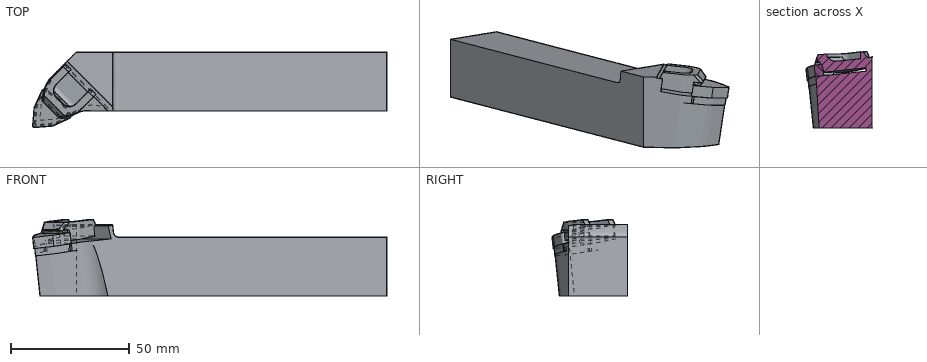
import cadquery as cq
import math

shank_end = 150.0
shank_width = 25.0
shank_height = 25.0
pad_height = 30.4
pad_end = 33.9
pad_wall_foot = (34.3, 27.0)
pad_blend_middle = (35.0, 25.6)
pad_blend_end = 36.6

edge_tilt = 6.0
axis_slope = math.tan(math.radians(edge_tilt)) * math.sqrt(2)
corner_offset = 7.075
corner_x = -0.075
corner_height = 24.8
seat_plane = cq.Plane(
    origin=(corner_x, -corner_offset, corner_height),
    xDir=(1, 1, math.sqrt(2) * axis_slope),
    normal=(-axis_slope / math.sqrt(2), -axis_slope / math.sqrt(2), 1),
)
axis_plane = cq.Plane(seat_plane.origin, xDir=seat_plane.xDir, normal=-seat_plane.yDir)

inscribed_radius = 6.35
insert_thickness = 4.76
nose_radius = 0.8
half_corner = math.radians(40)
flank_angle = math.radians(20)
insert_center = inscribed_radius / math.sin(half_corner)
break_radius = inscribed_radius / math.cos(math.radians(10))
break_u = insert_center - break_radius * math.cos(math.radians(60))
break_v = break_radius * math.sin(math.radians(60))

support_inset = 0.35
break_clip_start = 5.8
break_clip_end = 7.8
flank_end = 16.9
left_flank_end = 17.6
left_face = 9.5
left_face_start = 19.2
neck_middle = (22.3, -12.87)
neck_end = (23.7, -17.75)
nose_limit_x = 24.0
tool_reach = 170.0
shim_thickness = 3.2
shim_step = 0.1
relief_start = 13.9
relief_width = 0.8
relief_depth = 1.0

pocket_back = 28.15
strip_back = 30.8
strip_level = 0.77
clamp_half_width = 9.04
clamp_taper_start = 19.2
clamp_front_half_width = 5.9
clamp_corner_rounding = 4.0
lip_front = 11.3
lip_bottom = 1.3
lip_top = 1.8
crown_front = (14.0, 4.35)
crown_clearance = 1.0
crown_back = (28.4, 3.5)
hook_back = 29.5
clamp_bottom = -3.55
underside = 1.1
contact_front = 12.0
contact_half_width = 6.2
leg_front = 15.0
nose_facet = 1.1
recess_half_width = 5.87
recess_front = 17.0
recess_back = 27.7
recess_step = 0.07
recess_floor_radius = 2.0
floor_blend_setback = 1.0
recess_corner = 3.8


def nose_edge_v(u, inset):
    """Half-width of an edge that runs back from the insert corner."""
    return u * math.tan(half_corner) - inset / math.cos(half_corner)


def flank_v(u, inset):
    """Half-width of the flank that follows the nose edge."""
    return break_v + (u - break_u) * math.tan(flank_angle) - inset / math.cos(flank_angle)


def seat_prism(outline, bottom, top):
    """Extrude a closed outline square to the seat, between two W levels."""
    return outline.extrude(top - bottom).translate(seat_plane.zDir * bottom)


def seat_box(u_range, v_range, w_range):
    """Box aligned with the seat."""
    u_size = u_range[1] - u_range[0]
    v_size = v_range[1] - v_range[0]
    outline = (
        cq.Workplane(seat_plane)
        .center((u_range[0] + u_range[1]) / 2, (v_range[0] + v_range[1]) / 2)
        .rect(u_size, v_size)
    )
    return seat_prism(outline, w_range[0], w_range[1])


def make_insert():
    """Trigon plate with three rounded noses."""
    points = []
    for corner in range(3):
        nose_angle = math.pi + corner * math.radians(120)
        break_angle = nose_angle + math.radians(60)
        for radius, angle in ((insert_center, nose_angle), (break_radius, break_angle)):
            points.append((insert_center + radius * math.cos(angle), radius * math.sin(angle)))
    body = seat_prism(cq.Workplane(seat_plane).polyline(points).close(), -insert_thickness, 0)
    edges = body.edges(cq.selectors.ParallelDirSelector(seat_plane.zDir)).vals()
    axis_point = seat_plane.toWorldCoords((insert_center, 0, -insert_thickness / 2))
    reach = (insert_center + break_radius) / 2
    noses = [edge for edge in edges if edge.Center().sub(axis_point).Length > reach]
    return body.newObject(noses).fillet(nose_radius)


def head_outline(inset):
    """Head plan: nose inset from the insert edges, flat left side and concave neck on the right."""
    nose_back = nose_radius * math.cos(half_corner) ** 2 / math.sin(half_corner)
    nose_start = nose_back + inset / math.sin(half_corner)
    nose_tip = nose_radius * (1 / math.sin(half_corner) - 1) + inset / math.sin(half_corner)
    nose_half = nose_edge_v(nose_start, inset)
    clip_start_v = nose_edge_v(break_clip_start, inset)
    clip_end_v = flank_v(break_clip_end, inset)
    return (
        cq.Workplane(seat_plane)
        .moveTo(nose_start, nose_half)
        .threePointArc((nose_tip, 0), (nose_start, -nose_half))
        .lineTo(break_clip_start, -clip_start_v)
        .lineTo(break_clip_end, -clip_end_v)
        .lineTo(flank_end, -flank_v(flank_end, support_inset))
        .threePointArc(neck_middle, neck_end)
        .lineTo(neck_end[0], -tool_reach)
        .lineTo(tool_reach, -tool_reach)
        .lineTo(tool_reach, left_face)
        .lineTo(left_face_start, left_face)
        .lineTo(left_flank_end, flank_v(left_flank_end, support_inset))
        .lineTo(break_clip_end, clip_end_v)
        .lineTo(break_clip_start, clip_start_v)
        .close()
    )


def make_shank_stock():
    """Square shank with the raised pad, plus stock for the nose beyond the shank side."""
    shank = (
        cq.Workplane("XZ")
        .moveTo(0, 0)
        .lineTo(shank_end, 0)
        .lineTo(shank_end, shank_height)
        .lineTo(pad_blend_end, shank_height)
        .threePointArc(pad_blend_middle, pad_wall_foot)
        .lineTo(pad_end, pad_height)
        .lineTo(0, pad_height)
        .close()
        .extrude(-shank_width)
    )
    nose = cq.Workplane("XY").box(nose_limit_x, corner_offset, pad_height, centered=False)
    return shank.union(nose.translate((0, -corner_offset, 0)))


def make_clamp():
    """Clamp block with its lip over the insert and its leg just clear of the pocket floor."""
    plan = (
        cq.Workplane(seat_plane)
        .polyline([
            (lip_front, -clamp_front_half_width),
            (clamp_taper_start, -clamp_half_width),
            (hook_back, -clamp_half_width),
            (hook_back, clamp_half_width),
            (clamp_taper_start, clamp_half_width),
            (lip_front, clamp_front_half_width),
        ])
        .close()
    )
    block = seat_prism(plan, clamp_bottom, crown_front[1] + crown_clearance)
    for side in (-1, 1):
        corner = seat_plane.toWorldCoords((clamp_taper_start, side * clamp_half_width, 0))
        corner_edge = block.edges(cq.selectors.ParallelDirSelector(seat_plane.zDir)).edges(
            cq.selectors.NearestToPointSelector(corner.toTuple())
        )
        block = corner_edge.fillet(clamp_corner_rounding)
    side_profile = cq.Workplane(axis_plane).polyline([
        (lip_front, lip_bottom),
        (lip_front, lip_top),
        crown_front,
        crown_back,
        (hook_back, strip_level),
        (pocket_back, strip_level),
        (pocket_back, clamp_bottom),
        (leg_front, clamp_bottom),
        (leg_front, underside),
        (contact_front, underside),
    ]).close().extrude(clamp_half_width, both=True)
    clamp = block.intersect(side_profile)

    slope_u = (lip_front + crown_front[0]) / 2
    slope_w = (lip_top + crown_front[1]) / 2
    taper = (clamp_half_width - clamp_front_half_width) / (clamp_taper_start - lip_front)
    slope_v = clamp_front_half_width + taper * (slope_u - lip_front)
    for side in (-1, 1):
        slope_middle = seat_plane.toWorldCoords((slope_u, side * slope_v, slope_w))
        slope_edge = clamp.edges(cq.selectors.NearestToPointSelector(slope_middle.toTuple()))
        clamp = slope_edge.chamfer(nose_facet)

    contact = seat_box((contact_front, leg_front), (-contact_half_width, contact_half_width), (0, underside))
    return clamp.union(contact).cut(make_clamp_recess())


def make_clamp_recess():
    """U-shaped recess, open to the back, whose front wall runs into the floor in a curve."""
    across = (-recess_half_width, recess_half_width)
    floor = strip_level - recess_step
    top = crown_front[1] + crown_clearance
    recess = seat_box((recess_front, recess_back), across, (floor, top))
    front_corners = recess.edges(cq.selectors.ParallelDirSelector(seat_plane.zDir)).vals()
    front_corners = sorted(front_corners, key=lambda edge: edge.Center().dot(seat_plane.xDir))[:2]
    recess = recess.newObject(front_corners).fillet(recess_corner)
    arc_inset = recess_floor_radius * (1 - math.sqrt(0.5))
    start = recess_front + floor_blend_setback
    blend_top = floor + recess_floor_radius
    blend = (
        cq.Workplane(axis_plane)
        .moveTo(recess_front, floor)
        .lineTo(start + recess_floor_radius, floor)
        .threePointArc((start + arc_inset, floor + arc_inset), (start, blend_top))
        .lineTo(recess_front, blend_top)
        .close()
        .extrude(recess_half_width, both=True)
    )
    opening = seat_box((recess_back, hook_back), across, (strip_level, top))
    return recess.cut(blend).union(opening)


def make_holder(insert):
    """Shank and head with the insert pocket, joined with the clamp."""
    shim_floor = -insert_thickness - shim_thickness
    upper = seat_prism(head_outline(support_inset), shim_floor, tool_reach)
    lower = seat_prism(head_outline(support_inset + shim_step), -tool_reach, shim_floor)
    holder = make_shank_stock().intersect(upper.union(lower))
    wide = (-tool_reach, tool_reach)
    holder = holder.cut(seat_box((-tool_reach, pocket_back), wide, (-insert_thickness, tool_reach)))
    holder = holder.cut(seat_box((-tool_reach, strip_back), wide, (strip_level, tool_reach)))
    for side in (-1, 1):
        outer = side * clamp_half_width
        inner = side * (flank_v(relief_start, support_inset) - relief_depth)
        holder = holder.cut(seat_box(
            (relief_start, relief_start + relief_width),
            (min(inner, outer), max(inner, outer)),
            (shim_floor, -insert_thickness),
        ))
    return holder.union(make_clamp()).cut(insert)


insert = make_insert()
holder = make_holder(insert)
result = cq.Compound.makeCompound([holder.solids().val(), insert.solids().val()])